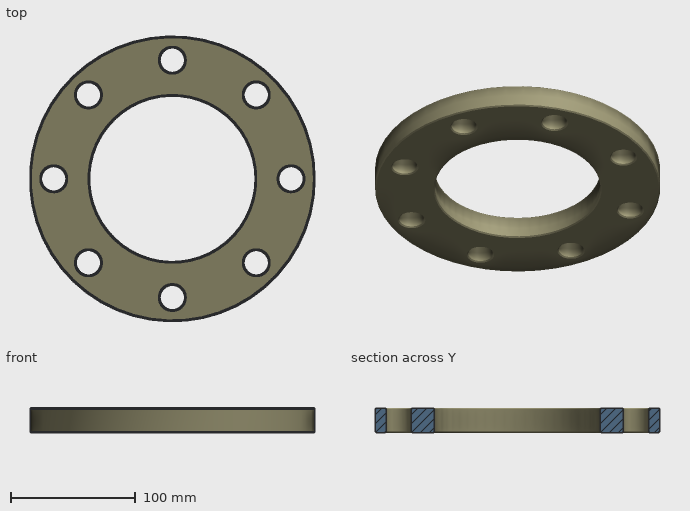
import cadquery as cq

outer_diameter = 229.0
thickness = 20.0
bore_diameter = 133.0
bolt_circle_diameter = 190.5
bolt_hole_diameter = 20.0
bolt_hole_count = 8
edge_chamfer = 1.0

ring = (
    cq.Workplane("XY")
    .circle(outer_diameter / 2)
    .circle(bore_diameter / 2)
    .extrude(thickness)
)

bolt_holes = (
    cq.Workplane("XY")
    .polarArray(bolt_circle_diameter / 2, 0, 360, bolt_hole_count)
    .circle(bolt_hole_diameter / 2)
    .extrude(thickness)
)
drilled_ring = ring.cut(bolt_holes)

result = drilled_ring.faces("<Z or >Z").edges().chamfer(edge_chamfer)